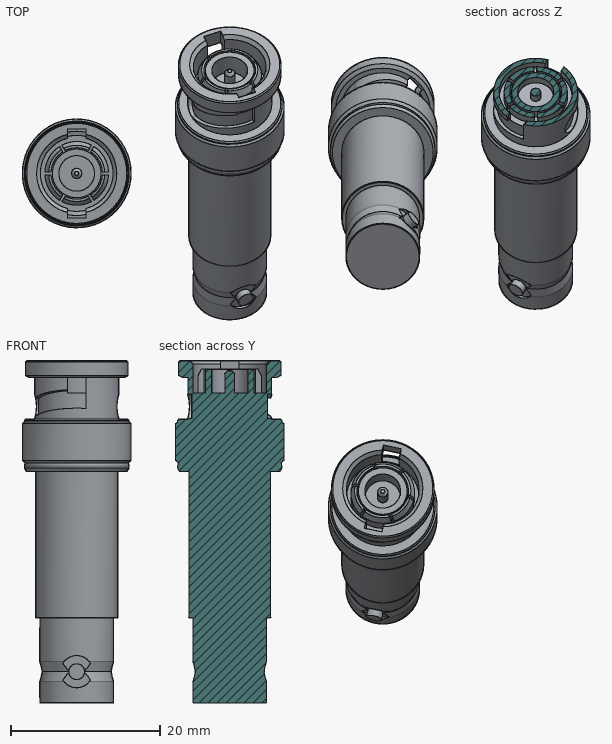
import cadquery as cq
import math

total_height = 45.9
body_bottom = 11.4
collar_bottom = 31.05
collar_top = 38.05
head_bottom = 43.6

socket_radius = 4.95
body_radius = 5.5
collar_radius = 7.3
collar_rim_radius = 7.0
collar_relief_radius = 6.95
collar_foot_radius = 6.75
neck_radius = 5.65
head_radius = 6.9
head_underside_radius = 6.35

fine_chamfer = 0.1
head_bevel_height = 0.28
head_top_chamfer = 0.2
collar_rim_chamfer = 0.2
collar_rim_step = 0.35
collar_top_bevel_height = 0.25
collar_foot_height = 0.45
collar_rim_height = 0.28
collar_relief_height = 0.4
collar_bottom_bevel = 0.35

lug_height = 4.2
waist_radius = 4.65
groove_half_height = 1.35
lug_radius = 1.05
lug_tip_distance = body_radius
lug_flat_radius = 2.15
lug_flat_distance = 4.55

bore_radius = 4.85
mouth_radius = 5.35
mouth_depth = 0.45
bore_floor = 41.6

slot_width = 2.45
slot_floor_radius = 5.1
entry_depth_radius = 5.95
lock_radius = 1.6
lock_height = 39.75
slot_slope = math.radians(14.2)

finger_radius = 4.25
finger_tip_radius = 3.75
finger_inner_radius = 3.45
finger_top = 44.8
finger_cone_height = 0.9
finger_count = 6
finger_gap = 0.35
insulator_radius = 3.25
insulator_bore_radius = 2.4
insulator_top = 44.7
pin_radius = 0.7
pin_tip_radius = 0.28
pin_top = 44.55
pin_cone_height = 0.4


def tube(outer, inner, bottom, top):
    return cq.Workplane("XY").workplane(offset=bottom).circle(outer).circle(inner).extrude(top - bottom)


def revolve_profile(points):
    """Turn a closed (radius, height) outline around the Z axis."""
    return cq.Workplane("XZ").polyline(points).close().revolve(360, (0, 0), (0, 1))


def outer_body():
    collar_rim_bottom = collar_bottom + collar_foot_height
    collar_rim_top = collar_rim_bottom + collar_rim_height
    collar_relief_top = collar_rim_top + collar_relief_height
    return revolve_profile([
        (0, 0),
        (socket_radius - fine_chamfer, 0),
        (socket_radius, fine_chamfer),
        (socket_radius, lug_height - groove_half_height),
        (waist_radius, lug_height),
        (socket_radius, lug_height + groove_half_height),
        (socket_radius, body_bottom),
        (body_radius - fine_chamfer, body_bottom),
        (body_radius, body_bottom + fine_chamfer),
        (body_radius, collar_bottom),
        (collar_foot_radius, collar_bottom),
        (collar_rim_radius, collar_rim_bottom),
        (collar_rim_radius, collar_rim_top),
        (collar_relief_radius, collar_relief_top),
        (collar_radius, collar_relief_top + collar_bottom_bevel),
        (collar_radius, collar_top - collar_rim_step - collar_top_bevel_height),
        (collar_rim_radius, collar_top - collar_rim_step),
        (collar_rim_radius, collar_top - collar_rim_chamfer),
        (collar_rim_radius - collar_rim_chamfer, collar_top),
        (neck_radius, collar_top),
        (neck_radius, head_bottom),
        (head_underside_radius, head_bottom),
        (head_radius, head_bottom + head_bevel_height),
        (head_radius, total_height - head_top_chamfer),
        (head_radius - head_top_chamfer, total_height),
        (0, total_height),
    ])


def coupling_bore():
    return revolve_profile([
        (0, bore_floor),
        (bore_radius, bore_floor),
        (bore_radius, total_height - mouth_depth),
        (mouth_radius, total_height),
        (0, total_height),
    ])


def bayonet_slot():
    """Entry notch on the -Y side, with the sloped slot leading to the round lock on the -X side."""
    lower_offset = -lock_radius / math.cos(slot_slope)
    upper_offset = lower_offset + slot_width / math.cos(slot_slope)
    reach = entry_depth_radius
    rise = reach * math.tan(slot_slope)
    tangent_y = -lock_radius * math.sin(slot_slope)
    tangent_z = -lock_radius * math.cos(slot_slope)
    ramp = (
        cq.Workplane("YZ", origin=(-reach, 0, lock_height))
        .moveTo(0, 0)
        .lineTo(tangent_y, tangent_z)
        .lineTo(-reach, lower_offset + rise)
        .lineTo(-reach, upper_offset + rise)
        .lineTo(0, upper_offset)
        .close()
        .extrude(reach + slot_width / 2)
    )
    lock = cq.Workplane("YZ", origin=(-reach, 0, lock_height)).circle(lock_radius).extrude(reach)
    wall = tube(collar_radius, slot_floor_radius, collar_top, head_bottom)
    groove = ramp.union(lock).intersect(wall)

    entry = (
        cq.Workplane("XY", origin=(0, -entry_depth_radius / 2, bore_floor))
        .rect(slot_width, entry_depth_radius)
        .extrude(total_height - bore_floor)
    )
    return groove.union(entry)


def add_lug_and_flat(part, side):
    """Mill the round flat and add the lug on the side facing Y * side."""
    plane = cq.Plane(origin=(0, 0, lug_height), xDir=(0, 0, 1), normal=(0, side, 0))
    flat = (
        cq.Workplane(plane)
        .workplane(offset=lug_flat_distance)
        .circle(lug_flat_radius)
        .extrude(socket_radius)
    )
    lug = cq.Workplane(plane).circle(lug_radius).extrude(lug_tip_distance)
    return part.cut(flat).union(lug)


def spring_fingers():
    fingers = revolve_profile([
        (finger_inner_radius, bore_floor),
        (finger_radius, bore_floor),
        (finger_radius, finger_top - finger_cone_height),
        (finger_tip_radius, finger_top),
        (finger_inner_radius, finger_top),
    ])
    for index in range(finger_count):
        gap = (
            cq.Workplane("XY", origin=(0, 0, bore_floor))
            .center(finger_radius, 0)
            .rect(2 * finger_radius, finger_gap)
            .extrude(finger_top - bore_floor)
            .rotate((0, 0, 0), (0, 0, 1), index * 360 / finger_count)
        )
        fingers = fingers.cut(gap)
    return fingers


def center_pin():
    return revolve_profile([
        (0, bore_floor),
        (pin_radius, bore_floor),
        (pin_radius, pin_top - pin_cone_height),
        (pin_tip_radius, pin_top),
        (0, pin_top),
    ])


result = outer_body().cut(coupling_bore())

for turn in (0, 180):
    result = result.cut(bayonet_slot().rotate((0, 0, 0), (0, 0, 1), turn))

for side in (-1, 1):
    result = add_lug_and_flat(result, side)

result = result.union(spring_fingers())
result = result.union(tube(insulator_radius, insulator_bore_radius, bore_floor, insulator_top))
result = result.union(center_pin())